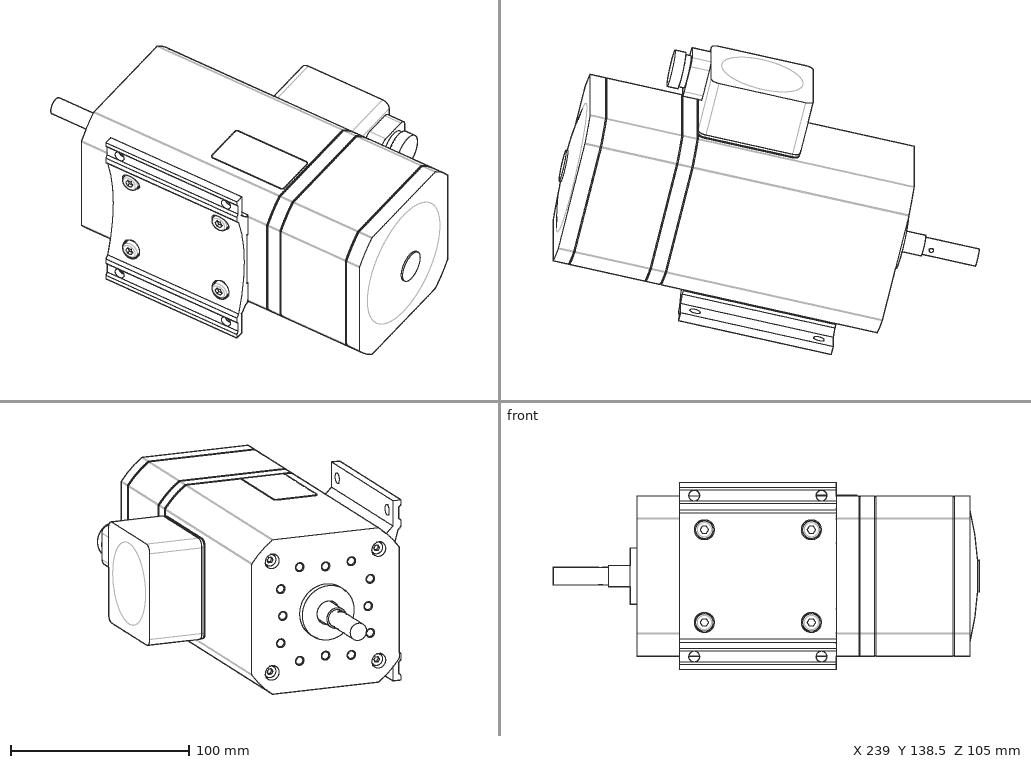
import cadquery as cq
import math


CASING_WIDTH = 90.0
CORNER_RADIUS = 55.4
CORNER_BLEND = 1.0
CASING_LENGTH = 186.8
JOINT_POSITIONS = (124.8, 133.6, 177.6)
JOINT_WIDTH = 0.7
JOINT_DEPTH = 0.4
HALF_WIDTH = CASING_WIDTH / 2

PILOT_RADIUS = 15.8
PILOT_HEIGHT = 3.8
THREAD_RADIUS = 2.1
THREAD_CHAMFER = 0.5
THREAD_DEPTH = 8.0
DRILL_POINT_LENGTH = 1.2
INNER_THREAD_CIRCLE = 26.0
OUTER_THREAD_CIRCLE = 31.5
OUTER_THREAD_ANGLE = 30.0
FLANGE_SCREW_OFFSET = 32.5
FLANGE_SCREW_HEAD_RADIUS = 3.5
FLANGE_SCREW_HEAD_HEIGHT = 3.0
FLANGE_BORE_RADIUS = 4.2
FLANGE_BORE_DEPTH = 6.0
FLANGE_SOCKET_WIDTH = 3.0

DOME_RADIUS = 37.0
DOME_HEIGHT = 4.5
BADGE_RADIUS = 9.0
BADGE_TOP = 192.0

LABEL_LENGTH = 48.5
LABEL_WIDTH = 26.2
LABEL_THICKNESS = 0.5
LABEL_CORNER = 1.5
LABEL_CENTRE_X = 99.2
LABEL_CENTRE_Y = -14.0

BOX_WIDTH = 58.9
BOX_START = 66.2
BOX_TOP = 79.0
BOX_CORNER = 4.5
BOX_BASE_HEIGHT = 2.2
BOX_SEAM_HEIGHT = 0.7
BOX_SEAM_DEPTH = 0.4
BOX_BASE_INSET = 0.2
LID_DOME_RADIUS = 23.5
LID_DOME_TOP = 82.3
BOX_CENTRE_X = BOX_START + BOX_WIDTH / 2
BOX_END = BOX_START + BOX_WIDTH

GLAND_CENTRE_Y = 66.7
GLAND_CENTRE_Z = 11.3
GLAND_BODY_WIDTH = 23.4
GLAND_BODY_LENGTH = 10.8
GLAND_BODY_CORNER = 4.0
GLAND_NECK_RADIUS = 9.3
GLAND_NECK_LENGTH = 3.3
GLAND_CAP_RADIUS = 10.5
GLAND_CAP_LENGTH = 6.1

FOOT_START = 23.8
FOOT_LENGTH = 88.0
FOOT_HALF_HEIGHT = 52.5
FOOT_OUTER = 56.2
FOOT_BACK = 51.2
FOOT_WEB_BACK = 47.1
FOOT_WEB_MIDDLE = 48.6
GROOVE_FLOOR = 54.8
GROOVE_TOP = 48.3
GROOVE_BOTTOM = 42.0
LIP_HALF_HEIGHT = 37.1
LIP_BEVEL = 1.8
PAD_HALF_HEIGHT = 33.7
PAD_RELIEF_HALF_HEIGHT = 18.5
PAD_RELIEF_DEPTH = 0.7
RAIL_HOLE_RADIUS = 3.0
RAIL_HOLE_HEIGHT = 45.1
RAIL_HOLE_SPACING = 71.4
FOOT_CENTRE_X = FOOT_START + FOOT_LENGTH / 2

FOOT_SCREW_SPACING = 60.0
FOOT_SCREW_HEIGHT = 26.0
FOOT_SCREW_HEAD_RADIUS = 4.9
FOOT_SCREW_HEAD_FILLET = 0.9
FOOT_SCREW_TOP = 53.6
FOOT_BORE_RADIUS = 5.6
FOOT_BORE_FLOOR = 49.5
FOOT_SOCKET_WIDTH = 4.0
SOCKET_DEPTH = 2.0

SHAFT_RADIUS = 5.0
SHAFT_TIP = -47.0
COLLAR_RADIUS = 6.0
COLLAR_START = -16.0
SHAFT_SEAT = 8.8
SHAFT_BORE_RADIUS = 6.8
PIN_HOLE_RADIUS = 1.2
PIN_HOLE_X = -20.5


def plane_x(x):
    """Plane across the shaft axis; local x is Y and local y is Z."""
    return cq.Workplane("YZ", origin=(x, 0, 0))


def plane_y(distance):
    """Plane facing -Y at the given distance below the axis; local x is X and local y is Z."""
    return cq.Workplane("XZ", origin=(0, -distance, 0))


def disc_x(radius, start, end):
    return plane_x(start).circle(radius).extrude(end - start)


def spherical_cap(radius, height, sink):
    """Solid cap about the Y axis: rim at y = 0, top at y = height, and a short root below."""
    sphere_radius = (radius**2 + height**2) / (2 * height)
    rim_angle = math.asin(radius / sphere_radius) / 2
    middle = (
        sphere_radius * math.sin(rim_angle),
        height - sphere_radius * (1 - math.cos(rim_angle)),
    )
    outline = (
        cq.Workplane("XY")
        .moveTo(0, -sink)
        .lineTo(radius, -sink)
        .lineTo(radius, 0)
        .threePointArc(middle, (0, height))
        .close()
    )
    return outline.revolve(360, (0, 0, 0), (0, 1, 0))


def casing_section(start, end, inset=0.0):
    """Length of casing: a square with corners rounded about the shaft axis."""
    width = CASING_WIDTH - 2 * inset
    length = end - start
    square = plane_x(start).rect(width, width).extrude(length)
    section = square.intersect(disc_x(CORNER_RADIUS - inset, start, end))
    return section.edges("|X").fillet(CORNER_BLEND)


def make_casing():
    """Long casing with a narrow groove at each joint between its sections."""
    casing = casing_section(0, CASING_LENGTH)
    for joint in JOINT_POSITIONS:
        joint_start = joint - JOINT_WIDTH / 2
        joint_end = joint + JOINT_WIDTH / 2
        core = casing_section(joint_start, joint_end, JOINT_DEPTH)
        casing = casing.cut(casing_section(joint_start, joint_end).cut(core))
    return casing


def cut_threads(body):
    """Chamfered mounting threads with conical drill points in the front face."""
    polar = [(INNER_THREAD_CIRCLE, 90 * quarter) for quarter in range(4)]
    for quarter in range(4):
        for offset in (OUTER_THREAD_ANGLE, 90 - OUTER_THREAD_ANGLE):
            polar.append((OUTER_THREAD_CIRCLE, 90 * quarter + offset))
    rim = THREAD_RADIUS + THREAD_CHAMFER
    axis = cq.Vector(1, 0, 0)
    for radius, angle in polar:
        y = radius * math.cos(math.radians(angle))
        z = radius * math.sin(math.radians(angle))
        mouth = cq.Vector(0, y, z)
        floor = mouth + axis * THREAD_DEPTH
        hole = cq.Solid.makeCylinder(THREAD_RADIUS, THREAD_DEPTH, mouth, axis)
        chamfer = cq.Solid.makeCone(rim, THREAD_RADIUS, THREAD_CHAMFER, mouth, axis)
        point = cq.Solid.makeCone(THREAD_RADIUS, 0, DRILL_POINT_LENGTH, floor, axis)
        body = body.cut(cq.Workplane(hole.fuse(chamfer, point)))
    return body


def hexagon_diameter(width):
    """Corner-to-corner size of a hexagon with the given width across flats."""
    return 2 * width / math.sqrt(3)


def add_flange_screws(body):
    """Socket screws sunk in counterbores at the flange corners."""
    spacing = 2 * FLANGE_SCREW_OFFSET
    head_top = FLANGE_BORE_DEPTH - FLANGE_SCREW_HEAD_HEIGHT
    bores = plane_x(0).rect(spacing, spacing, forConstruction=True).vertices()
    body = body.cut(bores.circle(FLANGE_BORE_RADIUS).extrude(FLANGE_BORE_DEPTH))
    seats = plane_x(head_top).rect(spacing, spacing, forConstruction=True).vertices()
    heads = seats.circle(FLANGE_SCREW_HEAD_RADIUS).extrude(FLANGE_SCREW_HEAD_HEIGHT)
    sockets = seats.polygon(6, hexagon_diameter(FLANGE_SOCKET_WIDTH)).extrude(SOCKET_DEPTH)
    return body.union(heads.cut(sockets))


def make_rear_dome():
    """Shallow dome on the rear face with a round badge at its top."""
    dome = spherical_cap(DOME_RADIUS, DOME_HEIGHT, JOINT_DEPTH)
    dome = dome.rotate((0, 0, 0), (0, 0, 1), -90).translate((CASING_LENGTH, 0, 0))
    return dome.union(disc_x(BADGE_RADIUS, CASING_LENGTH, BADGE_TOP))


def make_label():
    """Thin name plate on the upper side."""
    plate = cq.Workplane("XY", origin=(LABEL_CENTRE_X, LABEL_CENTRE_Y, HALF_WIDTH))
    plate = plate.rect(LABEL_LENGTH, LABEL_WIDTH).extrude(LABEL_THICKNESS)
    return plate.edges("|Z").fillet(LABEL_CORNER)


def box_slab(bottom, top, inset=0.0):
    """Slab of the terminal box between two distances from the shaft axis."""
    width = BOX_WIDTH - 2 * inset
    slab = cq.Workplane("XZ", origin=(BOX_CENTRE_X, bottom, 0)).rect(width, width).extrude(bottom - top)
    return slab.edges("|Y").fillet(BOX_CORNER - inset)


def make_terminal_box():
    """Box on the +Y side: recessed seam, slightly inset base, tall lid and a domed top."""
    seam_top = HALF_WIDTH + BOX_SEAM_HEIGHT
    base_top = HALF_WIDTH + BOX_BASE_HEIGHT
    box = box_slab(HALF_WIDTH, seam_top, BOX_SEAM_DEPTH)
    box = box.union(box_slab(seam_top, base_top, BOX_BASE_INSET))
    box = box.union(box_slab(base_top, BOX_TOP))
    dome = spherical_cap(LID_DOME_RADIUS, LID_DOME_TOP - BOX_TOP, BOX_SEAM_DEPTH)
    return box.union(dome.translate((BOX_CENTRE_X, BOX_TOP, 0)))


def make_gland():
    """Cable gland on the rear side of the terminal box."""
    def base(x):
        return cq.Workplane("YZ", origin=(x, GLAND_CENTRE_Y, GLAND_CENTRE_Z))

    neck_start = BOX_END + GLAND_BODY_LENGTH
    cap_start = neck_start + GLAND_NECK_LENGTH
    gland = base(BOX_END).rect(GLAND_BODY_WIDTH, GLAND_BODY_WIDTH).extrude(GLAND_BODY_LENGTH)
    gland = gland.edges("|X").fillet(GLAND_BODY_CORNER)
    gland = gland.union(base(neck_start).circle(GLAND_NECK_RADIUS).extrude(GLAND_NECK_LENGTH))
    return gland.union(base(cap_start).circle(GLAND_CAP_RADIUS).extrude(GLAND_CAP_LENGTH))


def foot_rail_profile():
    """Upper half of the bracket outline, from the middle of its back to its hollow front."""
    groove_slope = FOOT_OUTER - GROOVE_FLOOR
    return [
        (-FOOT_WEB_BACK, PAD_HALF_HEIGHT),
        (-FOOT_BACK, PAD_HALF_HEIGHT + FOOT_BACK - FOOT_WEB_BACK),
        (-FOOT_BACK, FOOT_HALF_HEIGHT),
        (-FOOT_OUTER, FOOT_HALF_HEIGHT),
        (-FOOT_OUTER, GROOVE_TOP + groove_slope),
        (-GROOVE_FLOOR, GROOVE_TOP),
        (-GROOVE_FLOOR, GROOVE_BOTTOM),
        (-FOOT_OUTER, GROOVE_BOTTOM - groove_slope),
        (-FOOT_OUTER, LIP_HALF_HEIGHT),
        (-FOOT_OUTER + LIP_BEVEL, LIP_HALF_HEIGHT - LIP_BEVEL),
    ]


def make_foot():
    """Extruded foot bracket: hollow web between two grooved rails, on a relieved pad."""
    upper = foot_rail_profile()
    lower = [(y, -z) for y, z in upper]
    foot = (
        plane_x(FOOT_START)
        .polyline(upper)
        .threePointArc((-FOOT_WEB_MIDDLE, 0), lower[-1])
        .polyline(lower[-2::-1], includeCurrent=True)
        .close()
        .extrude(FOOT_LENGTH)
    )
    pad = cq.Workplane().box(
        FOOT_LENGTH, FOOT_WEB_BACK - HALF_WIDTH, 2 * PAD_HALF_HEIGHT, centered=(False, False, True)
    )
    relief = cq.Workplane().box(
        FOOT_LENGTH, PAD_RELIEF_DEPTH, 2 * PAD_RELIEF_HALF_HEIGHT, centered=(False, False, True)
    )
    pad = pad.translate((FOOT_START, -FOOT_WEB_BACK, 0))
    pad = pad.cut(relief.translate((FOOT_START, -HALF_WIDTH - PAD_RELIEF_DEPTH, 0)))
    foot = foot.union(pad)
    holes = (
        plane_y(FOOT_BACK)
        .center(FOOT_CENTRE_X, 0)
        .rect(RAIL_HOLE_SPACING, 2 * RAIL_HOLE_HEIGHT, forConstruction=True)
        .vertices()
        .circle(RAIL_HOLE_RADIUS)
        .extrude(FOOT_OUTER - FOOT_BACK)
    )
    return foot.cut(holes)


def add_foot_screws(foot):
    """Socket screws in counterbores of the bracket web."""
    def screw_centres(distance):
        layout = plane_y(distance).center(FOOT_CENTRE_X, 0)
        return layout.rect(FOOT_SCREW_SPACING, 2 * FOOT_SCREW_HEIGHT, forConstruction=True).vertices()

    head_height = FOOT_SCREW_TOP - FOOT_BORE_FLOOR
    bores = screw_centres(FOOT_BORE_FLOOR).circle(FOOT_BORE_RADIUS).extrude(FOOT_OUTER - FOOT_BORE_FLOOR)
    heads = screw_centres(FOOT_BORE_FLOOR).circle(FOOT_SCREW_HEAD_RADIUS).extrude(head_height)
    heads = heads.faces("<Y").edges().fillet(FOOT_SCREW_HEAD_FILLET)
    sockets = screw_centres(FOOT_SCREW_TOP).polygon(6, hexagon_diameter(FOOT_SOCKET_WIDTH))
    heads = heads.cut(sockets.extrude(-SOCKET_DEPTH))
    return foot.cut(bores).union(heads)


def make_housing():
    """Everything that stands still, joined into one body with the bore for the shaft."""
    housing = add_flange_screws(cut_threads(make_casing()))
    housing = housing.union(disc_x(PILOT_RADIUS, -PILOT_HEIGHT, 0))
    housing = housing.union(make_rear_dome())
    housing = housing.union(make_label())
    housing = housing.union(make_terminal_box())
    housing = housing.union(make_gland())
    housing = housing.union(add_foot_screws(make_foot()))
    return housing.cut(disc_x(SHAFT_BORE_RADIUS, -PILOT_HEIGHT, SHAFT_SEAT))


def make_shaft():
    """Stepped shaft with a cross hole, standing on the floor of the housing bore."""
    shaft = disc_x(SHAFT_RADIUS, SHAFT_TIP, COLLAR_START)
    shaft = shaft.union(disc_x(COLLAR_RADIUS, COLLAR_START, SHAFT_SEAT))
    pin_hole = cq.Workplane("XY", origin=(PIN_HOLE_X, 0, 0)).circle(PIN_HOLE_RADIUS)
    return shaft.cut(pin_hole.extrude(SHAFT_RADIUS, both=True))


housing = make_housing()
shaft = make_shaft()
result = cq.Compound.makeCompound([housing.val(), shaft.val()])